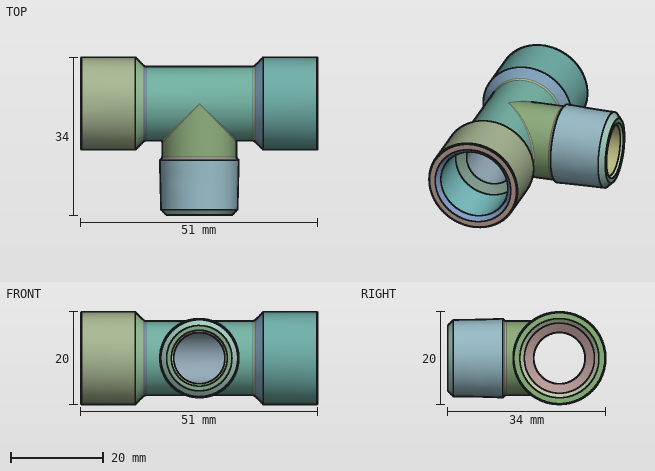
import cadquery as cq
import math

run_length = 51.0
half_run = run_length / 2
tube_radius = 8.0
bore_radius = 5.5
socket_radius = 10.0
socket_length = 11.75
rim_chamfer = 0.2
neck_fillet = 0.65

socket_bore_radius = 7.55
socket_mouth_radius = 8.5
drill_point_angle = 118.0

branch_length = 24.0
collar_start = 11.7
collar_radius = 8.5
tip_radius = 8.25
tip_chamfer = 1.2
branch_mouth_radius = 6.0
collar_fillet = 0.5
crotch_fillet = 0.25
crotch_runout = 0.15

shoulder_end = half_run - socket_length
shoulder_start = shoulder_end - (socket_radius - tube_radius)
bore_cone_length = (socket_bore_radius - bore_radius) / math.tan(math.radians(drill_point_angle / 2))
bore_cone_start = shoulder_end - bore_cone_length
mouth_chamfer_depth = socket_mouth_radius - socket_bore_radius

collar_end = collar_start + collar_radius - tube_radius
tip_start = branch_length - tip_chamfer
branch_mouth_depth = branch_mouth_radius - bore_radius


def turned_run(half_profile):
    """Turn a half profile of (x, radius) points, mirrored about the YZ plane, around X."""
    mirrored = [(-x, radius) for x, radius in reversed(half_profile)]
    points = [(-half_run, 0)] + mirrored + half_profile + [(half_run, 0)]
    return cq.Workplane("XY").polyline(points).close().revolve(360, (0, 0, 0), (1, 0, 0))


def turned_branch(profile):
    """Turn a profile of (radius, distance from the run axis) points around Y."""
    points = [(0, 0)] + [(radius, -distance) for radius, distance in profile] + [(0, -branch_length)]
    return cq.Workplane("XY").polyline(points).close().revolve(360, (0, 0, 0), (0, 1, 0))


def fillet_circles(body, axis, stations, circle_radius, fillet_radius):
    """Round the circular edges of one radius lying at the given stations on an axis."""
    reach = circle_radius + 0.05
    slab = 0.05
    for station in stations:
        low = [-reach] * 3
        high = [reach] * 3
        low[axis] = station - slab
        high[axis] = station + slab
        body = body.edges(cq.selectors.BoxSelector(low, high, boundingbox=True)).fillet(fillet_radius)
    return body


run_body = turned_run([
    (shoulder_start, tube_radius),
    (shoulder_end, socket_radius),
    (half_run - rim_chamfer, socket_radius),
    (half_run, socket_radius - rim_chamfer),
])
run_body = fillet_circles(run_body, 0, (-shoulder_start, shoulder_start), tube_radius, neck_fillet)

branch_body = turned_branch([
    (tube_radius, 0),
    (tube_radius, collar_start),
    (collar_radius, collar_end),
    (tip_radius, tip_start),
    (tip_radius - tip_chamfer, branch_length),
])
branch_body = fillet_circles(branch_body, 1, (-collar_start,), tube_radius, collar_fillet)

body = run_body.union(branch_body)
slab_half_height = tube_radius - crotch_runout
crotch_slab = cq.Workplane("XY").box(2 * shoulder_start, 2 * collar_start, 2 * slab_half_height)
crotch = body.intersect(crotch_slab).edges("%ELLIPSE").fillet(crotch_fillet)
body = body.union(crotch)

run_bore = turned_run([
    (bore_cone_start, bore_radius),
    (shoulder_end, socket_bore_radius),
    (half_run - mouth_chamfer_depth, socket_bore_radius),
    (half_run, socket_mouth_radius),
])
branch_bore = turned_branch([
    (bore_radius, 0),
    (bore_radius, branch_length - branch_mouth_depth),
    (branch_mouth_radius, branch_length),
])
result = body.cut(run_bore).cut(branch_bore)